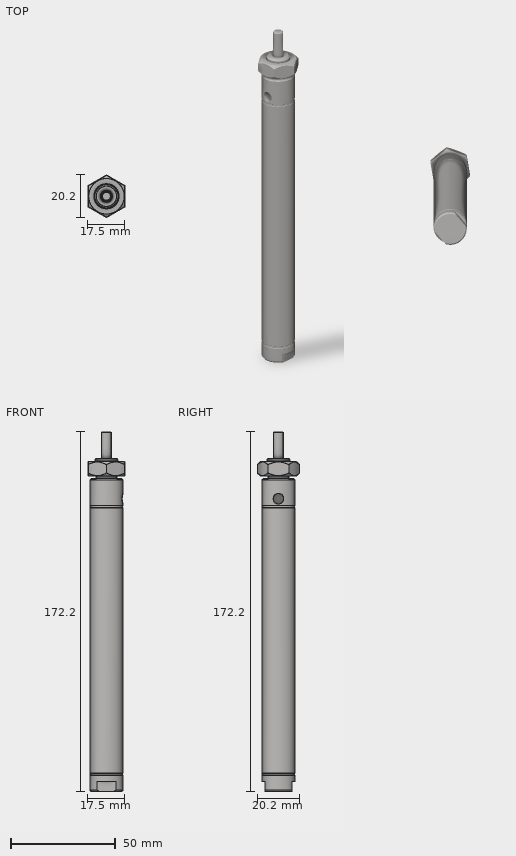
import cadquery as cq
import math

TOTAL_LENGTH = 172.21

NUT_ACROSS_FLATS = 17.53
NUT_ACROSS_CORNERS = NUT_ACROSS_FLATS / math.cos(math.pi / 6)
NUT_THICKNESS = 7.0
NUT_BOTTOM = 151.0
NUT_TOP = NUT_BOTTOM + NUT_THICKNESS
NUT_FACE_RADIUS = 8.5
NUT_CHAMFER_HEIGHT = 1.5
NUT_COUNTERSINK = 0.45

TUBE_RADIUS = 7.94
HEAD_TOP = 149.8
HEAD_CHAMFER = 0.7

NOSE_RADIUS = 5.56
NOSE_TOP = 159.5
NOSE_CHAMFER = 0.7
NECK_RADIUS = 5.0

GROOVE_WIDTH = 1.2
GROOVE_DEPTH = 0.15
UPPER_GROOVE_Z = 136.44
LOWER_GROOVE_Z = 8.34

CAP_CHAMFER_WIDTH = 0.65
CAP_CHAMFER_HEIGHT = 0.8
FLAT_SPACING = 13.0
FLAT_HEIGHT = 4.8

PORT_RADIUS = 2.5
PORT_Z = 140.2

ROD_RADIUS = 2.38
ROD_CHAMFER = 0.45
ROD_BOTTOM = HEAD_TOP
BORE_CHAMFER = 0.5


def disc(radius, bottom, top):
    """Solid cylinder on the Z axis between two heights."""
    return cq.Workplane("XY").workplane(offset=bottom).circle(radius).extrude(top - bottom)


def make_rod():
    """Plain round rod with a chamfered tip."""
    return disc(ROD_RADIUS, ROD_BOTTOM, TOTAL_LENGTH).faces(">Z").chamfer(ROD_CHAMFER)


def body_blank():
    """Turned solid of cap, tube, head, neck and nose."""
    outline = [
        (0, 0),
        (TUBE_RADIUS - CAP_CHAMFER_WIDTH, 0),
        (TUBE_RADIUS, CAP_CHAMFER_HEIGHT),
        (TUBE_RADIUS, HEAD_TOP - HEAD_CHAMFER),
        (TUBE_RADIUS - HEAD_CHAMFER, HEAD_TOP),
        (NECK_RADIUS, HEAD_TOP),
        (NECK_RADIUS, NUT_BOTTOM),
        (NOSE_RADIUS, NUT_BOTTOM),
        (NOSE_RADIUS, NOSE_TOP - NOSE_CHAMFER),
        (NOSE_RADIUS - NOSE_CHAMFER, NOSE_TOP),
        (0, NOSE_TOP),
    ]
    return cq.Workplane("XZ").polyline(outline).close().revolve(360, (0, 0), (0, 1))


def cut_crimp_groove(body, height):
    """Shallow groove around the tube with 45 degree flanks."""
    half_groove = GROOVE_WIDTH / 2
    half_floor = half_groove - GROOVE_DEPTH
    floor_radius = TUBE_RADIUS - GROOVE_DEPTH
    section = (
        cq.Workplane("XZ")
        .polyline([
            (TUBE_RADIUS, height - half_groove),
            (floor_radius, height - half_floor),
            (floor_radius, height + half_floor),
            (TUBE_RADIUS, height + half_groove),
        ])
        .close()
    )
    return body.cut(section.revolve(360, (0, 0), (0, 1)))


def cut_wrench_flats(body):
    """Two parallel flats on the -Y and +Y sides of the end cap."""
    cutter_depth = TUBE_RADIUS
    cutter_y = FLAT_SPACING / 2 + cutter_depth / 2
    cutters = (
        cq.Workplane("XY")
        .pushPoints([(0, -cutter_y), (0, cutter_y)])
        .rect(2 * TUBE_RADIUS, cutter_depth)
        .extrude(FLAT_HEIGHT)
    )
    return body.cut(cutters)


def cut_port(body):
    """Round port from the +X side to the axis."""
    drill = cq.Workplane("YZ").center(0, PORT_Z).circle(PORT_RADIUS).extrude(2 * TUBE_RADIUS)
    return body.cut(drill)


def cut_rod_bore(body):
    """Blind bore that fits the rod, with a chamfered mouth."""
    body = body.cut(disc(ROD_RADIUS, ROD_BOTTOM, NOSE_TOP))
    mouth = cq.Workplane("XY").workplane(offset=NOSE_TOP).circle(ROD_RADIUS + BORE_CHAMFER)
    return body.cut(mouth.extrude(-BORE_CHAMFER, taper=45))


def make_body():
    """Cylinder body with its flats, port and rod bore."""
    body = body_blank()
    for height in (LOWER_GROOVE_Z, UPPER_GROOVE_Z):
        body = cut_crimp_groove(body, height)
    body = cut_wrench_flats(body)
    body = cut_port(body)
    return cut_rod_bore(body)


def make_nut():
    """Hexagonal nut with its corners chamfered by a cone at both faces."""
    hexagon = (
        cq.Workplane("XY").workplane(offset=NUT_BOTTOM)
        .transformed(rotate=(0, 0, 90))
        .polygon(6, NUT_ACROSS_CORNERS)
        .extrude(NUT_THICKNESS)
    )
    corner_radius = NUT_ACROSS_CORNERS / 2
    outline = [
        (NOSE_RADIUS, NUT_BOTTOM + NUT_COUNTERSINK),
        (NOSE_RADIUS + NUT_COUNTERSINK, NUT_BOTTOM),
        (NUT_FACE_RADIUS, NUT_BOTTOM),
        (corner_radius, NUT_BOTTOM + NUT_CHAMFER_HEIGHT),
        (corner_radius, NUT_TOP - NUT_CHAMFER_HEIGHT),
        (NUT_FACE_RADIUS, NUT_TOP),
        (NOSE_RADIUS + NUT_COUNTERSINK, NUT_TOP),
        (NOSE_RADIUS, NUT_TOP - NUT_COUNTERSINK),
    ]
    turned = cq.Workplane("XZ").polyline(outline).close().revolve(360, (0, 0), (0, 1))
    return hexagon.intersect(turned)


rod = make_rod()
body = make_body()
nut = make_nut()

result = cq.Compound.makeCompound([rod.val(), body.val(), nut.val()])